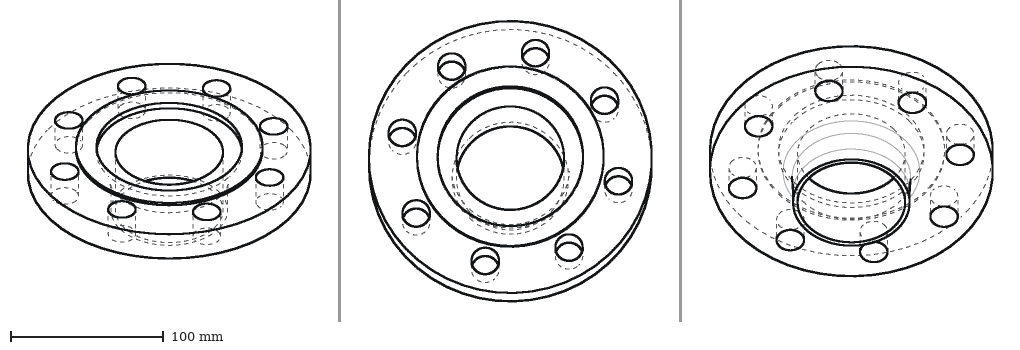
import cadquery as cq
import math

flange_diameter = 185.0
flange_thickness = 20.0
face_diameter = 122.1
face_height = 1.8
recess_diameter = 95.0
recess_depth = 4.5
bore_diameter = 70.3

bolt_count = 8
bolt_circle_diameter = 145.0
bolt_hole_diameter = 18.0

overall_height = 52.0
weld_end_diameter = 76.2
weld_end_height = 10.0
taper_top_diameter = 78.0
fillet_radius = 6.0

plate_bottom = overall_height - face_height - flange_thickness
plate_top = plate_bottom + flange_thickness
taper_height = plate_bottom - weld_end_height


def make_disc(diameter, bottom, height):
    """Cylinder about the Z axis, starting at the given level."""
    return cq.Workplane("XY").workplane(offset=bottom).circle(diameter / 2).extrude(height)


def make_hub():
    """Revolved weld neck that flares tangentially into the plate."""
    weld_end_radius = weld_end_diameter / 2
    taper_top_radius = taper_top_diameter / 2
    taper_angle = math.atan2(taper_top_radius - weld_end_radius, taper_height)
    center_z = plate_bottom - fillet_radius
    center_r = (
        weld_end_radius
        + (center_z - weld_end_height) * math.tan(taper_angle)
        + fillet_radius / math.cos(taper_angle)
    )
    sweep_middle = (math.pi / 2 + math.pi - taper_angle) / 2

    def fillet_point(angle):
        return (
            center_r + fillet_radius * math.cos(angle),
            center_z + fillet_radius * math.sin(angle),
        )

    return (
        cq.Workplane("XZ")
        .moveTo(0, 0)
        .lineTo(weld_end_radius, 0)
        .lineTo(weld_end_radius, weld_end_height)
        .lineTo(*fillet_point(math.pi - taper_angle))
        .threePointArc(fillet_point(sweep_middle), fillet_point(math.pi / 2))
        .lineTo(0, plate_bottom)
        .close()
        .revolve(360, (0, 0, 0), (0, 1, 0))
    )


def make_bolt_holes():
    """Cutters for the evenly spaced bolt holes."""
    return (
        cq.Workplane("XY")
        .workplane(offset=plate_bottom)
        .polarArray(bolt_circle_diameter / 2, 180 / bolt_count, 360, bolt_count)
        .circle(bolt_hole_diameter / 2)
        .extrude(flange_thickness)
    )


plate = make_disc(flange_diameter, plate_bottom, flange_thickness)
raised_face = make_disc(face_diameter, plate_top, face_height)
recess = make_disc(recess_diameter, overall_height - recess_depth, recess_depth)
bore = make_disc(bore_diameter, 0, overall_height)

result = plate.union(raised_face).union(make_hub()).cut(recess).cut(bore).cut(make_bolt_holes())